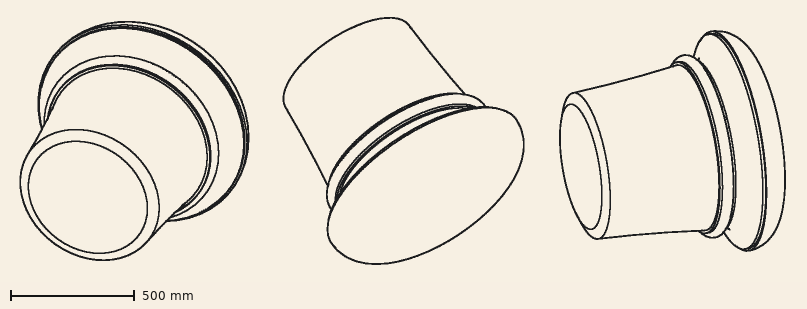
import cadquery as cq

HEIGHT = 750.0
DIAGONAL = 0.5 ** 0.5

FOOT_RADIUS = 256.5
FOOT_CHAMFER_HEIGHT = 21.0
BODY_BOTTOM_RADIUS = 300.0
BODY_TOP_RADIUS = 339.0
BODY_HOLLOW = 4.5

COLLAR_RADIUS = 351.0
COLLAR_STEP = 11.0
BEAD_RADIUS = 23.0

NECK_RADIUS = 339.0
NECK_CURVE_RADIUS = 84.0
LIP_RADIUS = 441.0
LIP_HEIGHT = 13.0

RIM_RADIUS = 450.0
RIM_CURVE_RADIUS = 112.5

rim_bottom = HEIGHT - RIM_CURVE_RADIUS
lip_bottom = rim_bottom - LIP_HEIGHT
collar_top = lip_bottom - NECK_CURVE_RADIUS
bead_top = collar_top - COLLAR_STEP
bead_centre = bead_top - BEAD_RADIUS
bead_bottom = bead_centre - BEAD_RADIUS
body_top = bead_bottom - COLLAR_STEP

flare_radius = NECK_RADIUS + NECK_CURVE_RADIUS
rim_flat_radius = RIM_RADIUS - RIM_CURVE_RADIUS
body_mid = (
    (BODY_BOTTOM_RADIUS + BODY_TOP_RADIUS) / 2 - BODY_HOLLOW,
    (FOOT_CHAMFER_HEIGHT + body_top) / 2,
)
neck_mid = (
    flare_radius - NECK_CURVE_RADIUS * DIAGONAL,
    collar_top + NECK_CURVE_RADIUS * DIAGONAL,
)
rim_mid = (
    rim_flat_radius + RIM_CURVE_RADIUS * DIAGONAL,
    rim_bottom + RIM_CURVE_RADIUS * DIAGONAL,
)

profile = (
    cq.Workplane("XY")
    .moveTo(0, 0)
    .lineTo(FOOT_RADIUS, 0)
    .lineTo(BODY_BOTTOM_RADIUS, FOOT_CHAMFER_HEIGHT)
    .threePointArc(body_mid, (BODY_TOP_RADIUS, body_top))
    .lineTo(COLLAR_RADIUS, body_top)
    .lineTo(COLLAR_RADIUS, bead_bottom)
    .threePointArc((COLLAR_RADIUS + BEAD_RADIUS, bead_centre), (COLLAR_RADIUS, bead_top))
    .lineTo(COLLAR_RADIUS, collar_top)
    .lineTo(NECK_RADIUS, collar_top)
    .threePointArc(neck_mid, (flare_radius, lip_bottom))
    .lineTo(LIP_RADIUS, lip_bottom)
    .lineTo(LIP_RADIUS, rim_bottom)
    .lineTo(RIM_RADIUS, rim_bottom)
    .threePointArc(rim_mid, (rim_flat_radius, HEIGHT))
    .lineTo(0, HEIGHT)
    .close()
)

result = profile.revolve(360, (0, 0, 0), (0, 1, 0))